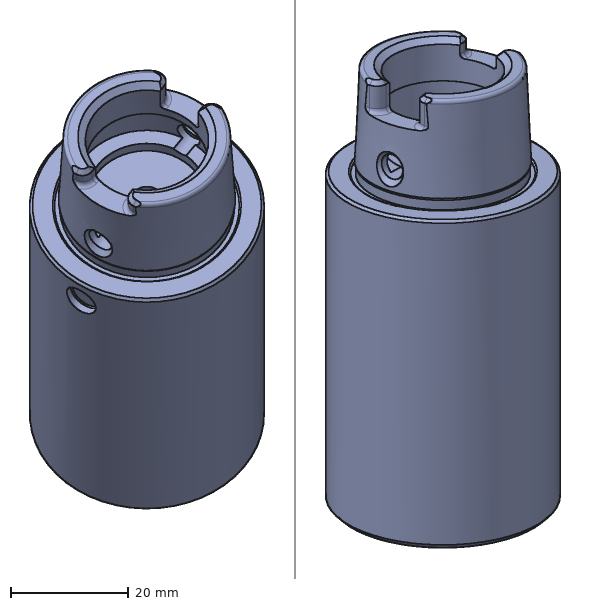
import cadquery as cq
import math

total_height = 82.0
body_diameter = 40.0
taper_length = 20.0
flange_z = total_height - taper_length
body_top_chamfer = 0.5
body_bottom_chamfer = 1.1

taper_top_radius = 14.3
taper_base_radius = 15.1
taper_base_z = flange_z + 1.9
rim_round = 0.7
neck_radius = 14.9
neck_step = 0.4

relief_outer_radius = 16.1
relief_depth = 0.3

bore_radius = 21.0 / 2
mouth_radius = 23.5 / 2
chamber_radius = 25.5 / 2
mouth_depth = 1.0
shoulder_depth = 7.9
chamber_depth = 15.9
well_radius = 10.0
well_depth = 18.0
axial_hole_diameter = 5.0

front_slot_depth = 3.45
rear_slot_depth = 5.9
slot_half_width = 3.9
slot_flare_radius = 2.0
slot_flare_y = 12.8
slot_floor_fillet = 0.9
slot_rim_chamfer = 0.8
slot_inner_y = 4.9
slot_outer_y = 18.0
slot_outer_half_width = 13.1

cross_hole_diameter = 4.6
cross_hole_z = total_height - 14.0
cross_countersink_diameter = 6.3
cross_countersink_clearance = 0.5
side_hole_diameter = 6.0
side_hole_z = total_height - 25.0
side_hole_depth = 1.6
side_hole_floor_chamfer = 0.25


def make_body():
    """Cylindrical body with chamfered ends."""
    body = cq.Workplane("XY").circle(body_diameter / 2).extrude(flange_z)
    body = body.faces(">Z").chamfer(body_top_chamfer)
    return body.faces("<Z").chamfer(body_bottom_chamfer)


def make_relief():
    """Shallow ring with a 45 degree outer wall, sunk into the flange face."""
    floor_z = flange_z - relief_depth
    return (
        cq.Workplane("XZ")
        .moveTo(neck_radius, floor_z)
        .lineTo(relief_outer_radius - relief_depth, floor_z)
        .lineTo(relief_outer_radius, flange_z)
        .lineTo(neck_radius, flange_z)
        .close()
        .revolve(360, (0, 0, 0), (0, 1, 0))
    )


def make_shank():
    """Solid taper standing on a slightly narrower neck."""
    shank = (
        cq.Workplane("XZ")
        .moveTo(0, flange_z - relief_depth)
        .lineTo(neck_radius, flange_z - relief_depth)
        .lineTo(neck_radius, taper_base_z - neck_step)
        .lineTo(taper_base_radius, taper_base_z)
        .lineTo(taper_top_radius, total_height)
        .lineTo(0, total_height)
        .close()
        .revolve(360, (0, 0, 0), (0, 1, 0))
    )
    return shank.faces(">Z").edges().fillet(rim_round)


def make_bore():
    """Mouth, bore, clamping chamber and well as one turned cavity."""
    shoulder_z = total_height - shoulder_depth
    chamber_floor_z = total_height - chamber_depth
    well_floor_z = total_height - well_depth
    return (
        cq.Workplane("XZ")
        .moveTo(0, total_height)
        .lineTo(mouth_radius, total_height)
        .lineTo(bore_radius, total_height - mouth_depth)
        .lineTo(bore_radius, shoulder_z)
        .lineTo(chamber_radius, shoulder_z)
        .lineTo(chamber_radius, chamber_floor_z)
        .lineTo(well_radius, chamber_floor_z)
        .lineTo(well_radius, well_floor_z)
        .lineTo(0, well_floor_z)
        .close()
        .revolve(360, (0, 0, 0), (0, 1, 0))
    )


def slot_outline(base_z):
    """Plan of the -Y drive slot, flaring outwards around the arm ends."""
    arc_start_y = -(slot_flare_y - slot_flare_radius)
    arc_end_x = slot_half_width + slot_flare_radius
    arc_offset = slot_flare_radius * math.sqrt(0.5)
    arc_mid_x = arc_end_x - arc_offset
    arc_mid_y = arc_start_y - arc_offset
    return (
        cq.Workplane("XY", origin=(0, 0, base_z))
        .moveTo(-slot_half_width, -slot_inner_y)
        .lineTo(-slot_half_width, arc_start_y)
        .threePointArc((-arc_mid_x, arc_mid_y), (-arc_end_x, -slot_flare_y))
        .lineTo(-slot_outer_half_width, -slot_flare_y)
        .lineTo(-slot_outer_half_width, -slot_outer_y)
        .lineTo(slot_outer_half_width, -slot_outer_y)
        .lineTo(slot_outer_half_width, -slot_flare_y)
        .lineTo(arc_end_x, -slot_flare_y)
        .threePointArc((arc_mid_x, arc_mid_y), (slot_half_width, arc_start_y))
        .lineTo(slot_half_width, -slot_inner_y)
        .close()
    )


def make_slot(depth):
    """Slot with a filleted floor and a chamfer along its top edges."""
    slot = slot_outline(total_height - depth).extrude(depth)
    slot = slot.faces("<Z").edges().fillet(slot_floor_fillet)
    chamfer = slot_outline(total_height - slot_rim_chamfer).extrude(slot_rim_chamfer, taper=-45)
    return slot.union(chamfer)


def make_cross_hole():
    """Hole through both shank walls, with a 45 degree countersink at each outer end."""
    height_share = (cross_hole_z - taper_base_z) / (total_height - taper_base_z)
    wall_radius = taper_base_radius + height_share * (taper_top_radius - taper_base_radius)
    hole_radius = cross_hole_diameter / 2
    countersink_start_y = wall_radius - (cross_countersink_diameter / 2 - hole_radius)
    end_y = wall_radius + cross_countersink_clearance
    end_radius = cross_countersink_diameter / 2 + cross_countersink_clearance
    return (
        cq.Workplane("XY", origin=(0, 0, cross_hole_z))
        .moveTo(0, -end_y)
        .lineTo(end_radius, -end_y)
        .lineTo(hole_radius, -countersink_start_y)
        .lineTo(hole_radius, countersink_start_y)
        .lineTo(end_radius, end_y)
        .lineTo(0, end_y)
        .close()
        .revolve(360, (0, 0, 0), (0, 1, 0))
    )


def make_side_hole():
    """Blind hole in the -Y side of the body with a chamfered floor edge."""
    floor_y = side_hole_depth - body_diameter / 2
    hole = (
        cq.Workplane("XZ", origin=(0, floor_y, side_hole_z))
        .circle(side_hole_diameter / 2)
        .extrude(2 * side_hole_depth)
    )
    return hole.faces(">Y").chamfer(side_hole_floor_chamfer)


axial_hole = cq.Workplane("XY").circle(axial_hole_diameter / 2).extrude(total_height)
front_slot = make_slot(front_slot_depth)
rear_slot = make_slot(rear_slot_depth).rotate((0, 0, 0), (0, 0, 1), 180)

shank = make_shank().cut(make_bore()).cut(make_cross_hole())
result = make_body().cut(make_relief()).union(shank)
for cavity in (axial_hole, make_side_hole(), front_slot, rear_slot):
    result = result.cut(cavity)